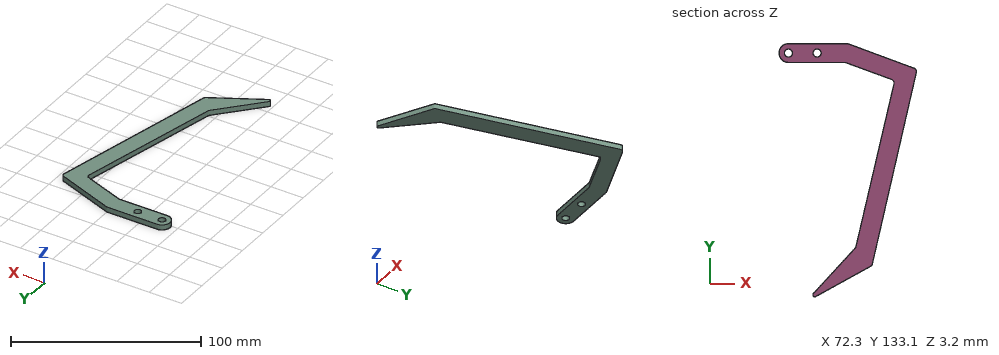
import cadquery as cq
import math

thickness = 3.2
end_width = 10.0
end_radius = end_width / 2
hole_diameter = 4.1
hole_pitch = 15.0

outer_bend = (31.1, end_radius)
inner_bend = (29.8, -end_radius)
outer_elbow = (67.6, -8.5)
inner_elbow = (55.8, -14.5)
inner_heel = (35.3, -102.2)
outer_heel = (43.9, -111.7)

tip_radius = 1.0
tip_center = (13.8, -127.05)

bend_radius = 2.0
elbow_radius = 2.0
heel_radius = 1.5


def tip_tangent(corner, side):
    """Point where a line from corner touches the tip circle; side is +1 or -1."""
    dx = corner[0] - tip_center[0]
    dy = corner[1] - tip_center[1]
    angle = math.atan2(dy, dx) + side * math.acos(tip_radius / math.hypot(dx, dy))
    return (
        tip_center[0] + tip_radius * math.cos(angle),
        tip_center[1] + tip_radius * math.sin(angle),
    )


def tip_far_point():
    """Point of the tip circle facing away from the heel."""
    dx = tip_center[0] - (inner_heel[0] + outer_heel[0]) / 2
    dy = tip_center[1] - (inner_heel[1] + outer_heel[1]) / 2
    scale = tip_radius / math.hypot(dx, dy)
    return (tip_center[0] + scale * dx, tip_center[1] + scale * dy)


def round_corner(body, corner, radius):
    """Fillet the upright edge standing at a corner of the outline."""
    upright = cq.selectors.NearestToPointSelector((*corner, thickness / 2))
    return body.edges("|Z").edges(upright).fillet(radius)


arm = (
    cq.Workplane("XY")
    .moveTo(0, end_radius)
    .lineTo(*outer_bend)
    .lineTo(*outer_elbow)
    .lineTo(*outer_heel)
    .lineTo(*tip_tangent(outer_heel, -1))
    .threePointArc(tip_far_point(), tip_tangent(inner_heel, 1))
    .lineTo(*inner_heel)
    .lineTo(*inner_elbow)
    .lineTo(*inner_bend)
    .lineTo(0, -end_radius)
    .threePointArc((-end_radius, 0), (0, end_radius))
    .close()
    .extrude(thickness)
)

for corner, radius in (
    (outer_bend, bend_radius),
    (inner_bend, bend_radius),
    (outer_elbow, elbow_radius),
    (inner_elbow, elbow_radius),
    (outer_heel, heel_radius),
    (inner_heel, heel_radius),
):
    arm = round_corner(arm, corner, radius)

hole_centers = [(0, 0), (hole_pitch, 0)]
holes = (
    cq.Workplane("XY")
    .pushPoints(hole_centers)
    .circle(hole_diameter / 2)
    .extrude(thickness)
)

result = arm.cut(holes)